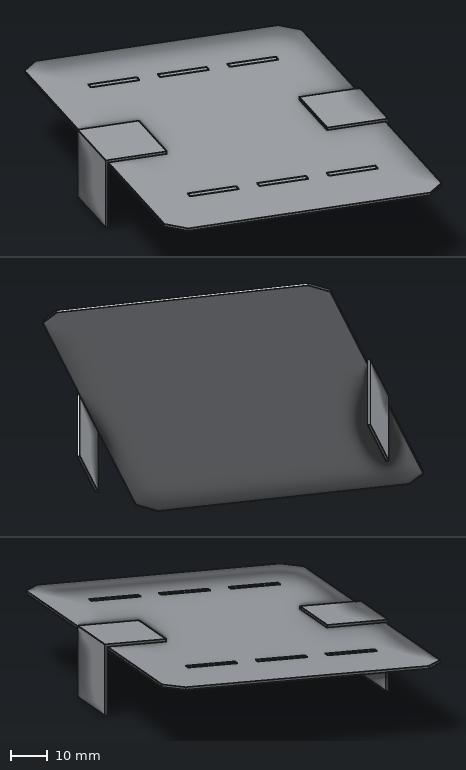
import cadquery as cq

plate_length = 120.0
plate_width = 80.0
plate_thickness = 0.79
corner_chamfer = 5.0

strip_length = 14.0
strip_width = 2.0
strip_height = 0.1
strip_pitch = 20.0
strips_per_row = 3
row_offset = 39.0

clip_thickness = 0.75
clip_width = 22.0
clip_reach = 17.6
clip_height = 19.9


def make_plate():
    """Sheet with chamfered corners and rows of raised strips."""
    sheet = (
        cq.Workplane("XY")
        .rect(plate_length, plate_width)
        .extrude(plate_thickness)
        .edges("|Z")
        .chamfer(corner_chamfer)
    )
    strips = (
        cq.Workplane("XY")
        .workplane(offset=plate_thickness)
        .rarray(2 * row_offset, strip_pitch, 2, strips_per_row)
        .rect(strip_width, strip_length)
        .extrude(strip_height)
    )
    return sheet.union(strips)


def make_clip(side):
    """L-shaped clip on the long edge at +Y (side = 1) or -Y (side = -1)."""
    inner_y = side * plate_width / 2
    outer_y = inner_y + side * clip_thickness
    tip_y = outer_y - side * clip_reach
    seat_z = plate_thickness
    top_z = seat_z + clip_thickness
    bottom_z = top_z - clip_height
    profile = [
        (tip_y, seat_z),
        (tip_y, top_z),
        (outer_y, top_z),
        (outer_y, bottom_z),
        (inner_y, bottom_z),
        (inner_y, seat_z),
    ]
    return cq.Workplane("YZ").polyline(profile).close().extrude(clip_width / 2, both=True)


plate = make_plate()
clips = [make_clip(side) for side in (-1, 1)]

result = cq.Compound.makeCompound([plate.val(), *[clip.val() for clip in clips]])